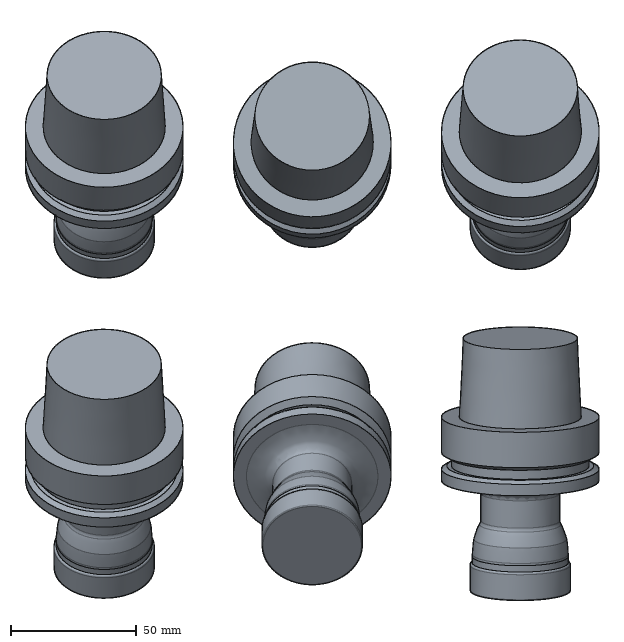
import cadquery as cq
import math

HEAD_TOP = 14.1
BAND_TOP = 15.0
DOME_MIDDLE = 21.2
DOME_TOP = 27.2
SHANK_BOTTOM = 28.7
SHANK_TOP = 39.8
FLANGE_BOTTOM = 45.1
GROOVE_LOWER_RIM = 49.7
GROOVE_BOTTOM = 50.9
GROOVE_TOP = 54.8
GROOVE_UPPER_RIM = 56.5
FLANGE_TOP = 70.9
TAPER_TOP = 102.9

BAND_RADIUS = 38.4 / 2
SHANK_RADIUS = 31.6 / 2
DOME_TOP_RADIUS = 16.3
FLARE_RADIUS = 52.5 / 2
FLANGE_RADIUS = 63.0 / 2
GROOVE_RADIUS = 55.0 / 2
TAPER_BASE_RADIUS = 24.4
TAPER_TOP_RADIUS = 22.8

DOME_ARC_RADIUS = 30.9
GROOVE_WALL_ANGLE = 60.0

COLLAR_RADIUS = 20.1
COLLAR_TOP = 11.5
COLLAR_TOP_ROUND = 0.9
COLLAR_BOTTOM_ROUND = 0.4


def revolve_about_z(profile):
    """Turn a closed (radius, height) profile into a solid of revolution."""
    return profile.close().revolve(360, (0, 0, 0), (0, 1, 0))


def bevel_foot_radius(bevel_height):
    """Radius where a groove bevel that starts at the flange rim ends."""
    return FLANGE_RADIUS - bevel_height * math.tan(math.radians(GROOVE_WALL_ANGLE))


def make_holder():
    """Taper, grooved flange, flared shank and dome, turned in one piece."""
    dome_rise = DOME_MIDDLE - BAND_TOP
    dome_inset = DOME_ARC_RADIUS - math.sqrt(DOME_ARC_RADIUS**2 - dome_rise**2)
    lower_bevel_radius = bevel_foot_radius(GROOVE_BOTTOM - GROOVE_LOWER_RIM)
    upper_bevel_radius = bevel_foot_radius(GROOVE_UPPER_RIM - GROOVE_TOP)
    flare_width = FLARE_RADIUS - SHANK_RADIUS
    flare_height = FLANGE_BOTTOM - SHANK_TOP

    profile = (
        cq.Workplane("XZ")
        .moveTo(0, HEAD_TOP)
        .lineTo(BAND_RADIUS, HEAD_TOP)
        .lineTo(BAND_RADIUS, BAND_TOP)
        .tangentArcPoint((BAND_RADIUS - dome_inset, DOME_MIDDLE), relative=False)
        .tangentArcPoint((DOME_TOP_RADIUS, DOME_TOP), relative=False)
        .tangentArcPoint((SHANK_RADIUS, SHANK_BOTTOM), relative=False)
        .lineTo(SHANK_RADIUS, SHANK_TOP)
        .parametricCurve(
            lambda t: (
                SHANK_RADIUS + flare_width * (1 - math.cos(t * math.pi / 2)),
                SHANK_TOP + flare_height * math.sin(t * math.pi / 2),
            ),
            N=20,
            makeWire=False,
        )
        .lineTo(FLANGE_RADIUS, FLANGE_BOTTOM)
        .lineTo(FLANGE_RADIUS, GROOVE_LOWER_RIM)
        .lineTo(lower_bevel_radius, GROOVE_BOTTOM)
        .lineTo(GROOVE_RADIUS, GROOVE_BOTTOM)
        .lineTo(GROOVE_RADIUS, GROOVE_TOP)
        .lineTo(upper_bevel_radius, GROOVE_TOP)
        .lineTo(FLANGE_RADIUS, GROOVE_UPPER_RIM)
        .lineTo(FLANGE_RADIUS, FLANGE_TOP)
        .lineTo(TAPER_BASE_RADIUS, FLANGE_TOP)
        .lineTo(TAPER_TOP_RADIUS, TAPER_TOP)
        .lineTo(0, TAPER_TOP)
    )
    return revolve_about_z(profile)


def make_cutter_head():
    """Short neck over a wider collar with rounded edges."""
    collar = (
        cq.Workplane("XY")
        .circle(COLLAR_RADIUS)
        .extrude(COLLAR_TOP)
        .faces(">Z")
        .edges()
        .fillet(COLLAR_TOP_ROUND)
        .faces("<Z")
        .edges()
        .fillet(COLLAR_BOTTOM_ROUND)
    )
    neck = cq.Workplane("XY").circle(BAND_RADIUS).extrude(HEAD_TOP)
    return collar.union(neck)


holder = make_holder()
cutter_head = make_cutter_head()

result = cq.Compound.makeCompound([holder.val(), cutter_head.val()])